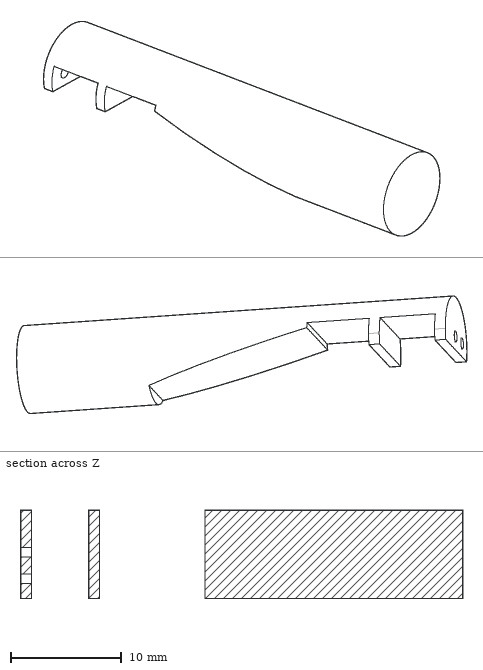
import cadquery as cq

length = 40.0
diameter = 8.0
radius = diameter / 2

roof_z = 1.5
ramp_start_x = 12.95
ramp_start_z = 1.0
ramp_end_x = 28.0
ramp_end_z = -3.05

tab_thickness = 1.0
tab_bottom_z = -1.0
second_tab_x = 6.15

hole_diameter = 1.0
hole_z = 0.3
hole_ys = (0.2, -2.2)


def make_rod():
    return cq.Workplane("YZ").circle(radius).extrude(length)


def make_underside_cut():
    """Everything removed from below, leaving the tabs and the ramp."""
    second_tab_end_x = second_tab_x + tab_thickness
    outline = [
        (0, -radius),
        (0, tab_bottom_z),
        (tab_thickness, tab_bottom_z),
        (tab_thickness, roof_z),
        (second_tab_x, roof_z),
        (second_tab_x, tab_bottom_z),
        (second_tab_end_x, tab_bottom_z),
        (second_tab_end_x, roof_z),
        (ramp_start_x, roof_z),
        (ramp_start_x, ramp_start_z),
        (ramp_end_x, ramp_end_z),
        (ramp_end_x, -radius),
    ]
    return cq.Workplane("XZ").polyline(outline).close().extrude(diameter, both=True)


def make_tab_holes():
    centres = [(y, hole_z) for y in hole_ys]
    return cq.Workplane("YZ").pushPoints(centres).circle(hole_diameter / 2).extrude(tab_thickness)


result = make_rod().cut(make_underside_cut()).cut(make_tab_holes())